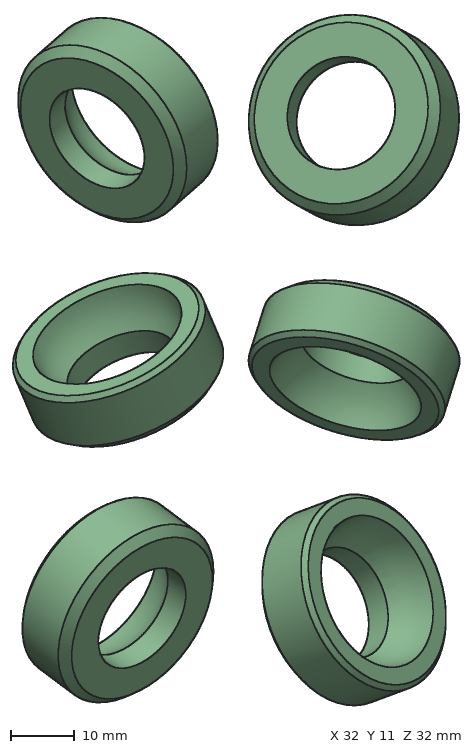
import cadquery as cq
import math

outer_diameter = 32.0
width = 11.0
bore_diameter = 18.0
front_chamfer = 1.5
back_chamfer = 0.8

straight_bore_length = 4.35
seat_radius = 12.5

outer_radius = outer_diameter / 2
bore_radius = bore_diameter / 2

seat_center = straight_bore_length + math.sqrt(seat_radius**2 - bore_radius**2)

section = (
    cq.Workplane("XY")
    .moveTo(bore_radius, 0)
    .lineTo(outer_radius - front_chamfer, 0)
    .lineTo(outer_radius, front_chamfer)
    .lineTo(outer_radius, width - back_chamfer)
    .lineTo(outer_radius - back_chamfer, width)
    .lineTo(bore_radius, width)
    .close()
)

ring = section.revolve(360, (0, 0, 0), (0, 1, 0))
seat = cq.Workplane("XY").sphere(seat_radius).translate((0, seat_center, 0))

result = ring.cut(seat)